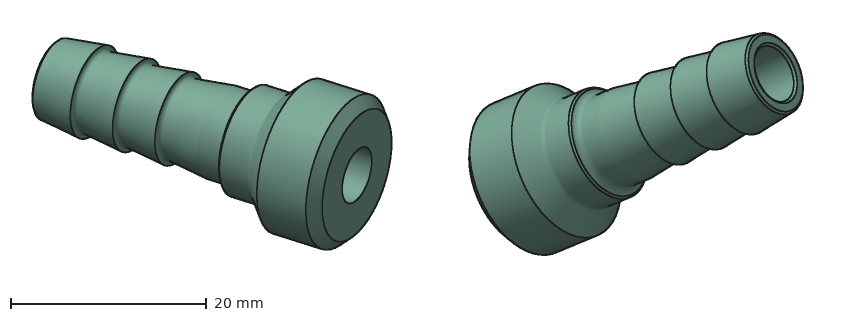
import cadquery as cq
import math

LENGTH = 36.0
BORE_RADIUS = 6.0 / 2
BORE_CHAMFER = 0.25

CREST_RADIUS = 10.0 / 2
ROOT_RADIUS = 4.43
BARB_PITCH = 5.0
BARB_COUNT = 4
BARB_FILLET = 0.45
TIP_RADIUS = 4.4
TIP_CHAMFER_LENGTH = 0.2
TIP_CHAMFER_DEPTH = 0.25

COLLAR_RADIUS = 12.0 / 2
COLLAR_START = 23.0
COLLAR_END = 26.4
COLLAR_CHAMFER = 0.2
NECK_FILLET = COLLAR_RADIUS - CREST_RADIUS - COLLAR_CHAMFER

HEAD_RADIUS = 16.6 / 2
HEAD_FILLET = 0.7
HEAD_CHAMFER = 1.22
CONE_ANGLE = math.radians(45)


def add_axial_arc(profile, start, radius, angle):
    """Concave arc that leaves its start parallel to the axis and turns outward by the angle."""
    def arc_point(turn):
        return (
            start[0] + radius * math.sin(turn),
            start[1] + radius * (1 - math.cos(turn)),
        )

    return profile.threePointArc(arc_point(angle / 2), arc_point(angle))


def add_crest_fillet(profile, crest_x):
    """Short step and quarter arc from a crest down to the root of the next barb."""
    offset = BARB_FILLET * (1 - math.sqrt(0.5))
    root = (crest_x + BARB_FILLET, ROOT_RADIUS)
    profile = profile.lineTo(crest_x, ROOT_RADIUS + BARB_FILLET)
    return profile.threePointArc((crest_x + offset, ROOT_RADIUS + offset), root)


def add_hose_tail(profile):
    """Chamfered tip and conical barbs; the last cone runs into the neck."""
    profile = profile.lineTo(0, TIP_RADIUS - TIP_CHAMFER_DEPTH).lineTo(TIP_CHAMFER_LENGTH, TIP_RADIUS)
    for barb in range(1, BARB_COUNT + 1):
        crest_x = barb * BARB_PITCH
        profile = profile.lineTo(crest_x, CREST_RADIUS)
        if barb < BARB_COUNT:
            profile = add_crest_fillet(profile, crest_x)
    return profile


def add_collar(profile):
    """Neck fillet, chamfered shoulder and cylindrical collar."""
    fillet_start = (COLLAR_START - NECK_FILLET, CREST_RADIUS)
    profile = profile.lineTo(*fillet_start)
    profile = add_axial_arc(profile, fillet_start, NECK_FILLET, math.pi / 2)
    return (
        profile.lineTo(COLLAR_START + COLLAR_CHAMFER, COLLAR_RADIUS)
        .lineTo(COLLAR_END, COLLAR_RADIUS)
    )


def add_head(profile):
    """Fillet and cone up to the cylindrical head, with an end chamfer."""
    profile = add_axial_arc(profile, (COLLAR_END, COLLAR_RADIUS), HEAD_FILLET, CONE_ANGLE)
    cone_start_x = COLLAR_END + HEAD_FILLET * math.sin(CONE_ANGLE)
    cone_start_radius = COLLAR_RADIUS + HEAD_FILLET * (1 - math.cos(CONE_ANGLE))
    cone_end_x = cone_start_x + (HEAD_RADIUS - cone_start_radius) / math.tan(CONE_ANGLE)
    return (
        profile.lineTo(cone_end_x, HEAD_RADIUS)
        .lineTo(LENGTH - HEAD_CHAMFER, HEAD_RADIUS)
        .lineTo(LENGTH, HEAD_RADIUS - HEAD_CHAMFER)
    )


section = cq.Workplane("XY").moveTo(BORE_CHAMFER, BORE_RADIUS).lineTo(0, BORE_RADIUS + BORE_CHAMFER)
section = add_hose_tail(section)
section = add_collar(section)
section = add_head(section)
section = section.lineTo(LENGTH, BORE_RADIUS).close()

result = section.revolve(360, (0, 0, 0), (1, 0, 0))